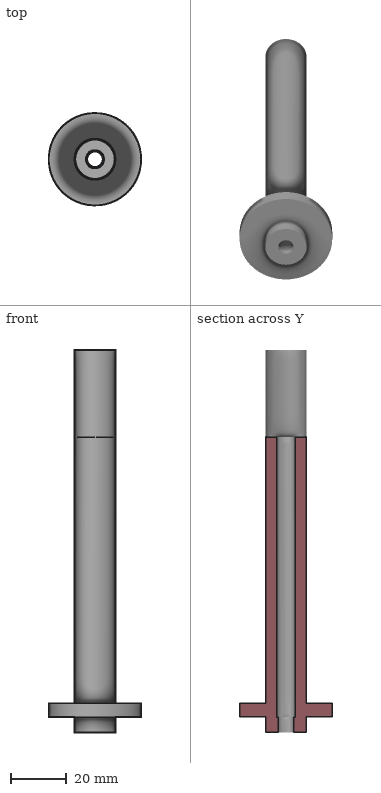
import cadquery as cq

total_length = 137.25
tube_diameter = 14.79
flange_diameter = 33.24
flange_bottom = 5.54
flange_thickness = 5.0

bore_diameter = 14.04
bore_depth = 31.3
upper_hole_diameter = 6.55
lower_hole_diameter = 5.52

bore_floor = total_length - bore_depth
flange_top = flange_bottom + flange_thickness


def cylinder(diameter, bottom, top):
    """Cylinder on the Z axis between two heights."""
    return cq.Workplane("XY").workplane(offset=bottom).circle(diameter / 2).extrude(top - bottom)


def make_body():
    """Long round tube with a flange near its lower end."""
    tube = cylinder(tube_diameter, 0, total_length)
    flange = cylinder(flange_diameter, flange_bottom, flange_top)
    return tube.union(flange)


def make_passage():
    """Coaxial bore and stepped hole; the hole steps in level with the flange underside."""
    bore = cylinder(bore_diameter, bore_floor, total_length)
    upper_hole = cylinder(upper_hole_diameter, flange_bottom, bore_floor)
    lower_hole = cylinder(lower_hole_diameter, 0, flange_bottom)
    return bore.union(upper_hole).union(lower_hole)


result = make_body().cut(make_passage())